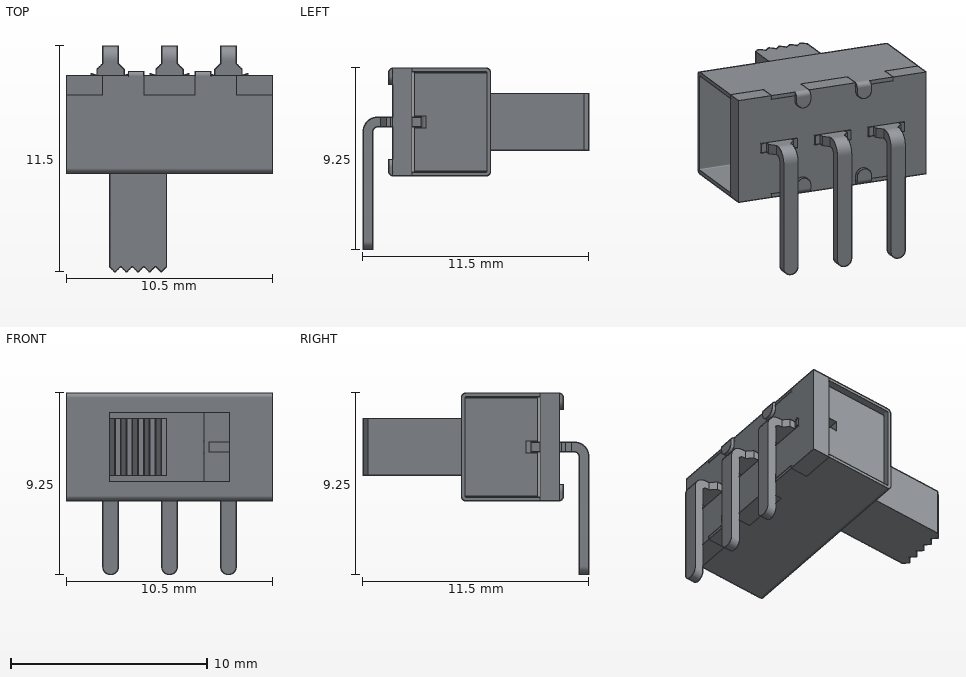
import cadquery as cq

case_length = 10.5
case_height = 5.5
case_depth = 5.0
sheet = 0.2
bend_radius = 0.25
window_length = 6.1
window_height = 3.5

tongue_inner_x = 1.3
tongue_outer_x = 3.4
tab_width = 0.8
tab_reach = 0.85

base_thickness = 1.0
base_front_y = case_depth - base_thickness

terminal_pitch = 3.0
terminal_count = 3
terminal_thickness = 0.5
blade_width = 2.0
blade_reach = 0.45
blade_front_y = base_front_y - blade_reach
blade_corner_radius = 0.1
barb_height = 0.1
shoulder_width = 1.4
shoulder_straight = 0.3
pin_width = 0.8
pin_outer_y = 6.5
pin_tip_z = -6.5
pin_bend_outer_radius = 0.75
terminal_places = [(i - (terminal_count - 1) / 2) * terminal_pitch for i in range(terminal_count)]

slider_x = -1.6
slider_body_length = 6.7
slider_body_height = 5.0
slider_base_gap = 0.1
slider_back_y = base_front_y - slider_base_gap
stem_length = 2.9
stem_height = 2.9
stem_front_y = -5.0
grip_count = 5
grip_depth = 0.25
slot_height = 0.6
slot_depth = 0.6

wiper_length = 5.1


def box(x_range, y_range, z_range):
    """Axis-aligned block between pairs of limits."""
    sizes = [high - low for low, high in (x_range, y_range, z_range)]
    return cq.Workplane("XY").box(*sizes, centered=False).translate((x_range[0], y_range[0], z_range[0]))


def centred(middle, size):
    """Pair of limits lying evenly about a middle."""
    return (middle - size / 2, middle + size / 2)


def tongue_blocks():
    """Regions of the four sheet tongues over the base, on both sides of the top and the bottom."""
    top_z = case_height / 2
    top = box((tongue_inner_x, tongue_outer_x), (base_front_y, case_depth), (top_z - sheet, top_z))
    upper = top.union(top.mirror("YZ"))
    return upper.union(upper.mirror("XY"))


def tab_blocks():
    """Regions of the four round-ended tabs, including the bend at the end of each tongue."""
    tab_middle_x = tongue_inner_x + tab_width / 2
    top_z = case_height / 2
    round_centre_z = top_z - tab_reach + tab_width / 2
    back_y = case_depth + sheet
    straight = box(centred(tab_middle_x, tab_width), (base_front_y, back_y), (round_centre_z, top_z))
    end = (
        cq.Workplane("XZ", origin=(tab_middle_x, back_y, round_centre_z))
        .circle(tab_width / 2)
        .extrude(base_thickness + sheet)
    )
    tab = straight.union(end)
    upper = tab.union(tab.mirror("YZ"))
    return upper.union(upper.mirror("XY"))


def make_case():
    """Sheet bent round the front, top and bottom, with a window and tongues ending in tabs."""
    outside = box(centred(0, case_length), (0, case_depth + sheet), centred(0, case_height))
    outside = outside.edges("|X").fillet(bend_radius)
    inside = box(centred(0, case_length), (sheet, case_depth), centred(0, case_height - 2 * sheet))
    inside = inside.edges("|X and <Y").fillet(bend_radius - sheet)
    window = box(centred(0, window_length), (0, sheet), centred(0, window_height))
    bent_sheet = outside.cut(inside).cut(window)

    front = box(centred(0, case_length), (0, base_front_y), centred(0, case_height))
    tabs = tab_blocks()
    flat_tongues = tongue_blocks().cut(tabs)
    return bent_sheet.intersect(front.union(tabs)).union(flat_tongues)


def make_base():
    """Back plate, notched for the tongues and slotted for the terminal blades."""
    base = box(centred(0, case_length), (base_front_y, case_depth), centred(0, case_height))
    base = base.cut(tongue_blocks())
    for x in terminal_places:
        slot = box(centred(x, blade_width), (base_front_y, case_depth), centred(0, terminal_thickness))
        base = base.cut(slot)
    return base


def make_terminal(x):
    """Flat blade with barbs and shoulders, narrowing to a pin that bends down to a round tip."""
    half_blade = blade_width / 2
    half_shoulder = shoulder_width / 2
    half_pin = pin_width / 2
    taper_start_y = case_depth + shoulder_straight
    taper_end_y = taper_start_y + half_shoulder - half_pin
    right_half = [
        (half_pin, taper_end_y),
        (half_shoulder, taper_start_y),
        (half_shoulder, case_depth),
        (half_blade, case_depth + barb_height),
        (half_blade, blade_front_y),
    ]
    left_half = [(-across, y) for across, y in reversed(right_half)]
    plate = (
        cq.Workplane("XY", origin=(0, 0, -terminal_thickness / 2))
        .polyline(right_half + left_half)
        .close()
        .extrude(terminal_thickness)
        .edges("|Z and <Y")
        .fillet(blade_corner_radius)
    )

    bend_start_y = pin_outer_y - pin_bend_outer_radius
    top_z = terminal_thickness / 2
    inner_radius = pin_bend_outer_radius - terminal_thickness
    bend_centre_z = top_z - pin_bend_outer_radius
    pin = (
        cq.Workplane("YZ", origin=(-half_pin, 0, 0))
        .moveTo(taper_end_y, -top_z)
        .lineTo(taper_end_y, top_z)
        .lineTo(bend_start_y, top_z)
        .radiusArc((pin_outer_y, bend_centre_z), pin_bend_outer_radius)
        .lineTo(pin_outer_y, pin_tip_z)
        .lineTo(pin_outer_y - terminal_thickness, pin_tip_z)
        .lineTo(pin_outer_y - terminal_thickness, bend_centre_z)
        .radiusArc((bend_start_y, -top_z), -inner_radius)
        .close()
        .extrude(pin_width)
    )
    tip_corners = box((-half_pin, half_pin), (bend_start_y, pin_outer_y), (pin_tip_z, pin_tip_z + half_pin))
    tip_round = (
        cq.Workplane("XZ", origin=(0, pin_outer_y, pin_tip_z + half_pin))
        .circle(half_pin)
        .extrude(pin_bend_outer_radius)
    )
    pin = pin.cut(tip_corners.cut(tip_round))
    return plate.union(pin).translate((x, 0, 0))


def make_slider():
    """Body sliding inside the case, with a stem through the window and a ridged grip."""
    body_x = centred(slider_x, slider_body_length)
    body = box(body_x, (sheet, slider_back_y), centred(0, slider_body_height))
    slot = box(body_x, (slider_back_y - slot_depth, slider_back_y), centred(0, slot_height))

    flat = (stem_length - 2 * grip_count * grip_depth) / (2 * grip_count - 1)
    valley_y = stem_front_y + grip_depth
    pitch = 2 * (grip_depth + flat)
    outline = [(slider_x - stem_length / 2, sheet)]
    for i in range(grip_count):
        x = slider_x - stem_length / 2 + i * pitch
        outline.append((x, valley_y))
        outline.append((x + grip_depth, stem_front_y))
        outline.append((x + grip_depth + flat, stem_front_y))
        outline.append((x + 2 * grip_depth + flat, valley_y))
    outline.append((slider_x + stem_length / 2, sheet))
    stem = (
        cq.Workplane("XY", origin=(0, 0, -stem_height / 2))
        .polyline(outline)
        .close()
        .extrude(stem_height)
    )
    return body.cut(slot).union(stem)


def make_wiper():
    """Contact bar in the slider slot, pressing on the blades, with its back edges rounded off."""
    half_length = wiper_length / 2
    front_y = slider_back_y - slot_depth
    radius = blade_front_y - front_y
    return (
        cq.Workplane("XY", origin=(slider_x, 0, -slot_height / 2))
        .moveTo(-half_length, front_y)
        .radiusArc((-half_length + radius, blade_front_y), radius)
        .lineTo(half_length - radius, blade_front_y)
        .radiusArc((half_length, front_y), radius)
        .close()
        .extrude(slot_height)
    )


case = make_case()
base = make_base()
terminals = [make_terminal(x) for x in terminal_places]
slider = make_slider()
wiper = make_wiper()

result = cq.Compound.makeCompound(
    [
        case.val(),
        base.val(),
        *[terminal.val() for terminal in terminals],
        slider.val(),
        wiper.val(),
    ]
)